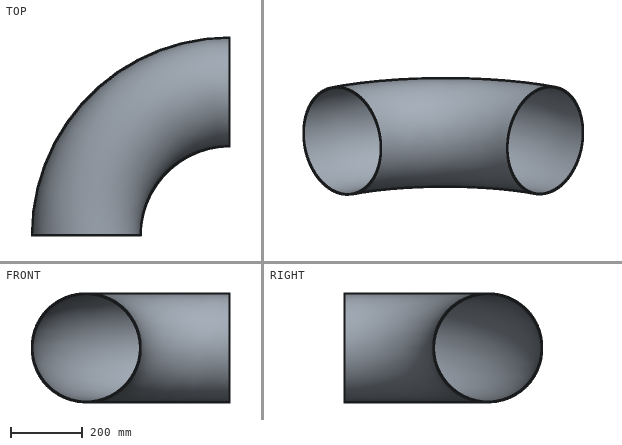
import cadquery as cq

bore_diameter = 300.0
wall_thickness = 2.0
bend_radius = 400.0
bend_angle = 90.0

outer_radius = bore_diameter / 2 + wall_thickness
inner_radius = bore_diameter / 2


def pipe_bend():
    """Sweep the ring-shaped pipe section about a vertical axis through the bend centre."""
    section = cq.Workplane("XZ").circle(outer_radius).circle(inner_radius)
    axis_start = (bend_radius, 0)
    axis_end = (bend_radius, -1)
    return section.revolve(bend_angle, axis_start, axis_end)


result = pipe_bend()